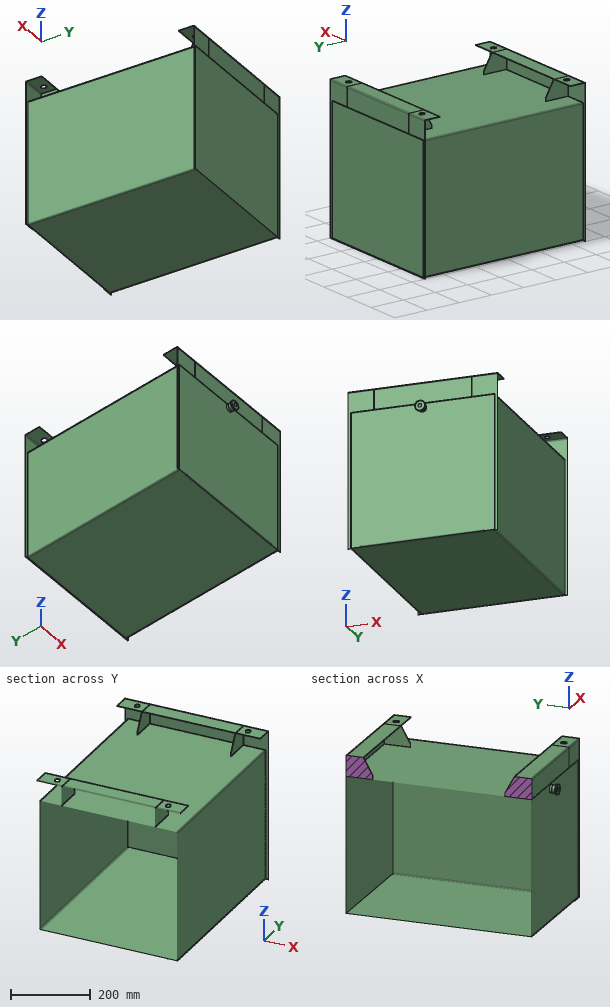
import cadquery as cq

width = 400.0
height = 420.0
knob_projection = 20.5
overall_depth = 520
depth = overall_depth - knob_projection

sheet = 2.0
bend_radius = 3.0

box_width = 386.5
box_height = 365.0

bottom_bend_length = 329.0

flange_depth = 47.5
slot_width = 13.0
slot_length = 16.0
slot_spacing = 310.0
slot_edge_distance = 25.0

gusset_spacing = 261.0
gusset_foot = 73
gusset_lip = 9.0

knob_height = 351.0
neck_diameter = 22.0
neck_groove_diameter = 21
neck_groove_start = 5.5
neck_groove_width = 0.5
head_diameter = 27.0
rim_groove_diameter = 25.0
head_thickness = 5.0
rim_thickness = 1.5
socket_diameter = 10.0
socket_depth = 3.5


def block(x_size, y_start, y_end, z_start, z_end):
    """Block centred on X between the given Y and Z limits."""
    return (
        cq.Workplane("XY", origin=(0, (y_start + y_end) / 2, z_start))
        .rect(x_size, y_end - y_start)
        .extrude(z_end - z_start)
    )


def box_tube():
    """Folded tube with rounded long edges, open at both ends."""
    outer = block(box_width, 0, depth, 0, box_height).edges("|Y").fillet(bend_radius)
    inner = block(box_width - 2 * sheet, 0, depth, sheet, box_height - sheet)
    inner = inner.edges("|Y").fillet(bend_radius - sheet)
    return outer.cut(inner)


def end_plate():
    """End plate with its top bent inward into a slotted flange; its outer face lies on Y = 0."""
    plate = block(width, 0, flange_depth, 0, height)
    plate = plate.edges(">Z and <Y").fillet(bend_radius)
    hollow = block(width, sheet, flange_depth, 0, height - sheet)
    hollow = hollow.edges(">Z and <Y").fillet(bend_radius - sheet)
    slots = (
        cq.Workplane("XY", origin=(0, slot_edge_distance, height))
        .rarray(slot_spacing, 5, 2, 1)
        .slot2D(slot_length, slot_width, 90)
        .extrude(-2 * sheet)
    )
    return plate.cut(hollow).cut(slots)


def gussets():
    """Pair of upright gussets between the flange and the top of the box."""
    outline = [
        (sheet / 2, box_height - sheet / 2),
        (gusset_foot, box_height - sheet / 2),
        (gusset_foot, box_height + gusset_lip),
        (flange_depth, height - sheet / 2),
        (sheet / 2, height - sheet / 2),
    ]
    gusset = cq.Workplane("YZ").polyline(outline).close().extrude(sheet / 2, both=True)
    offset = gusset_spacing / 2
    return gusset.translate((-offset, 0, 0)).union(gusset.translate((offset, 0, 0)))


def bottom_bend():
    """Waste removed to round the middle of the lower outside edge of the front plate."""
    corner = block(bottom_bend_length, 0, bend_radius, 0, bend_radius)
    roll = (
        cq.Workplane("YZ", origin=(-bottom_bend_length / 2, bend_radius, bend_radius))
        .circle(bend_radius)
        .extrude(bottom_bend_length)
    )
    return corner.cut(roll)


def knob():
    """Turned knob: a grooved neck, a head with a grooved rim, and a conical socket."""
    head_start = knob_projection - head_thickness
    neck_groove_end = neck_groove_start + neck_groove_width
    half_profile = [
        (0, -sheet / 2),
        (neck_diameter / 2, -sheet / 2),
        (neck_diameter / 2, neck_groove_start),
        (neck_groove_diameter / 2, neck_groove_start),
        (neck_groove_diameter / 2, neck_groove_end),
        (neck_diameter / 2, neck_groove_end),
        (neck_diameter / 2, head_start),
        (head_diameter / 2, head_start),
        (head_diameter / 2, head_start + rim_thickness),
        (rim_groove_diameter / 2, head_start + rim_thickness),
        (rim_groove_diameter / 2, knob_projection - rim_thickness),
        (head_diameter / 2, knob_projection - rim_thickness),
        (head_diameter / 2, knob_projection),
        (socket_diameter / 2, knob_projection),
        (0, knob_projection - socket_depth),
    ]
    upright = cq.Workplane("XZ").polyline(half_profile).close().revolve(360, (0, 0, 0), (0, 1, 0))
    return upright.rotate((0, 0, 0), (1, 0, 0), 90).translate((0, 0, knob_height))


end = end_plate().union(gussets())
result = (
    box_tube()
    .union(end)
    .union(end.mirror("XZ").translate((0, depth, 0)))
    .cut(bottom_bend())
    .union(knob())
)